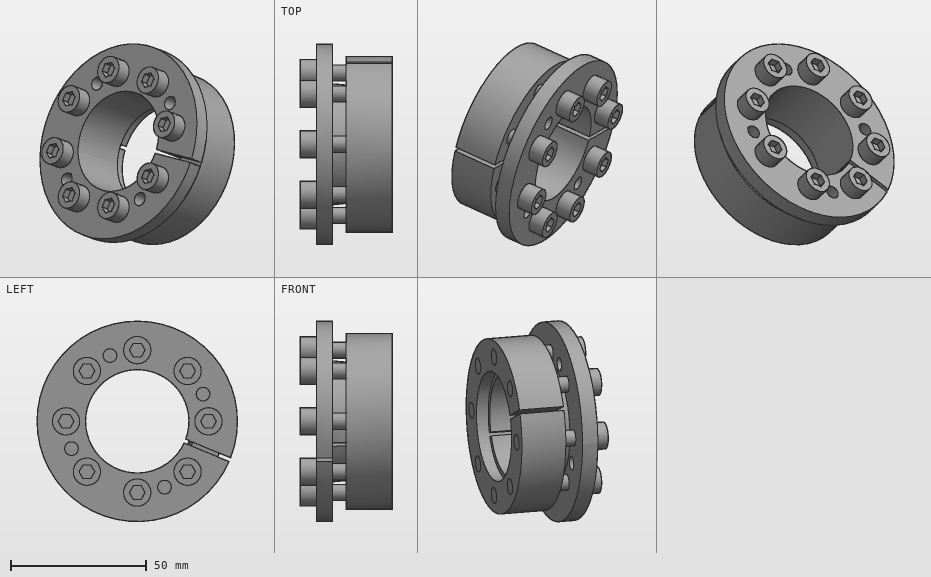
import cadquery as cq
import math


head_height = 6.0
flange_thickness = 6.0
gap = 4.95
clamp_ring_length = 17.1
ring_start = flange_thickness + gap
ring_end = ring_start + clamp_ring_length
sleeve_end = 23.3

flange_radius = 37.0
bore_radius = 19.0
clamp_ring_radius = 32.5
taper_end_radius = 20.4
taper_angle = 5.0
taper_slope = math.tan(math.radians(taper_angle))

bolt_circle_radius = 26.25
screw_count = 8
screw_head_radius = 5.0
shank_diameter = 6.0
shank_radius = shank_diameter / 2
socket_across_flats = 5.0
socket_across_corners = socket_across_flats / math.cos(math.pi / 6)
socket_depth = 3.0
jack_hole_count = 4
jack_hole_radius = 2.5

slit_width = 1.5
sleeve_slit_angle = 202.5
clamp_ring_slit_angle = sleeve_slit_angle - 180.0
jack_hole_start_angle = 67.5


def cylinder_x(radius, start, end, center=(0.0, 0.0)):
    """Cylinder along X between two stations, centred at (y, z)."""
    return cq.Workplane("YZ", origin=(start, 0, 0)).center(*center).circle(radius).extrude(end - start)


def taper_radius(x):
    """Radius at station x of the cone on which the two rings meet."""
    return taper_end_radius + (ring_end - x) * taper_slope


def taper_cone(start, end):
    """Solid piece of the mating cone between two stations."""
    profile = [(start, 0), (start, taper_radius(start)), (end, taper_radius(end)), (end, 0)]
    return cq.Workplane("XY").polyline(profile).close().revolve(360, (0, 0, 0), (1, 0, 0))


def circle_positions(count, start_angle=0.0):
    """Evenly spaced (y, z) places on the bolt circle."""
    angles = [math.radians(start_angle + i * 360.0 / count) for i in range(count)]
    return [(bolt_circle_radius * math.cos(a), bolt_circle_radius * math.sin(a)) for a in angles]


def radial_slit(angle):
    """Slab from the axis outward that cuts one side of a ring over its whole length."""
    slab = cq.Workplane("XY").box(ring_end, flange_radius, slit_width, centered=(False, False, True))
    return slab.rotate((0, 0, 0), (1, 0, 0), angle)


screw_positions = circle_positions(screw_count)
jack_hole_positions = circle_positions(jack_hole_count, jack_hole_start_angle)


def make_flanged_sleeve():
    """Flange with a tapered sleeve, slit along one side."""
    sleeve = cylinder_x(flange_radius, 0, flange_thickness)
    sleeve = sleeve.union(taper_cone(flange_thickness, sleeve_end))
    sleeve = sleeve.cut(cylinder_x(bore_radius, 0, sleeve_end))
    for position in screw_positions:
        sleeve = sleeve.cut(cylinder_x(shank_radius, 0, flange_thickness, position))
    for position in jack_hole_positions:
        sleeve = sleeve.cut(cylinder_x(jack_hole_radius, 0, flange_thickness, position))
    return sleeve.cut(radial_slit(sleeve_slit_angle))


def make_clamp_ring():
    """Outer ring with a tapered bore, slit opposite the sleeve slit."""
    ring = cylinder_x(clamp_ring_radius, ring_start, ring_end)
    ring = ring.cut(taper_cone(ring_start, ring_end))
    for position in screw_positions:
        ring = ring.cut(cylinder_x(shank_radius, ring_start, ring_end, position))
    return ring.cut(radial_slit(clamp_ring_slit_angle))


def make_screw(position):
    """Socket head screw reaching to the far face of the clamp ring."""
    screw = cylinder_x(screw_head_radius, -head_height, 0, position)
    screw = screw.union(cylinder_x(shank_radius, 0, ring_end, position))
    socket = (
        cq.Workplane("YZ", origin=(-head_height, 0, 0))
        .center(*position)
        .polygon(6, socket_across_corners)
        .extrude(socket_depth)
    )
    return screw.cut(socket)


flanged_sleeve = make_flanged_sleeve()
clamp_ring = make_clamp_ring()
screws = [make_screw(position) for position in screw_positions]

result = cq.Compound.makeCompound(
    [flanged_sleeve.val(), clamp_ring.val(), *[screw.val() for screw in screws]]
)